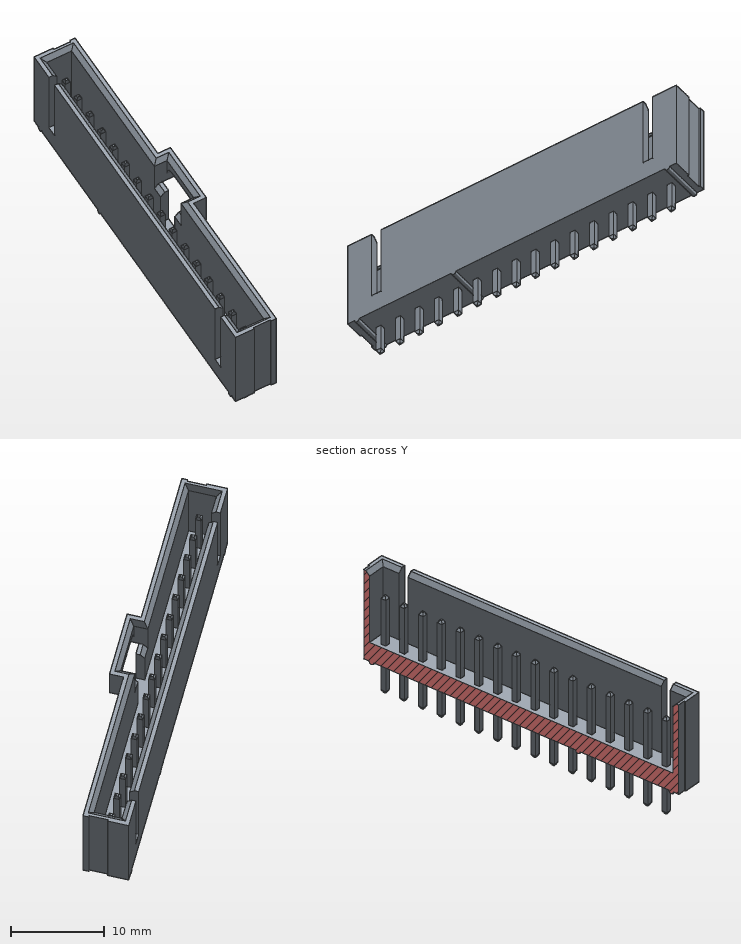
import cadquery as cq

length = 43.1
depth = 5.05
height = 11.4
wall = 1.0
floor_height = 2.45
rim_chamfer = 0.5

groove_depth = 0.17
groove_width = 2.05
groove_from_back = 0.65

hood_width = 7.67
hood_depth = 1.55
hood_height = 3.92
latch_slot_width = 3.0
window_height = 2.4
window_radius = 1.2

key_slot_width = 1.2
key_slot_offset = 17.8

ridge_radius = 0.325
ridge_positions = (-20.35, -7.67, 20.35)

pin_count = 16
pin_pitch = 2.55
pin_width = 0.65
pin_tail = 3.7
pin_top = 8.6
pin_tip_inset = 0.195
pin_tip_length = 0.35

front = -depth / 2
back = depth / 2
hood_floor = height - hood_height
hood_opening = hood_width - 2 * wall


def block(x_size, y_range, z_range, x_center=0.0):
    """Box centred at x_center, spanning the given Y and Z ranges."""
    y_size = y_range[1] - y_range[0]
    z_size = z_range[1] - z_range[0]
    box = cq.Workplane("XY").box(x_size, y_size, z_size, centered=(True, False, False))
    return box.translate((x_center, y_range[0], z_range[0]))


def flared_opening(x_size, y_range, z_range):
    """Block whose sides flare outward at 45 degrees over the top rim_chamfer."""
    straight = block(x_size, y_range, z_range)
    y_size = y_range[1] - y_range[0]
    flare = (
        cq.Workplane("XY", origin=(0, sum(y_range) / 2, z_range[1] - rim_chamfer))
        .rect(x_size, y_size)
        .workplane(offset=rim_chamfer)
        .rect(x_size + 2 * rim_chamfer, y_size + 2 * rim_chamfer)
        .loft(ruled=True)
    )
    return straight.union(flare)


def make_housing():
    shell = block(length, (front, back), (0, height))
    shell = shell.union(block(hood_width, (0, back + hood_depth), (hood_floor, height)))

    cavity_y = (front + wall, back - wall)
    shell = shell.cut(flared_opening(length - 2 * wall, cavity_y, (floor_height, height)))

    hood_y = (0, back + hood_depth - wall)
    shell = shell.cut(flared_opening(hood_opening, hood_y, (hood_floor, height)))

    bevel = (
        cq.Workplane("YZ", origin=(-hood_opening / 2, back - wall, hood_floor))
        .lineTo(0, -rim_chamfer)
        .lineTo(rim_chamfer, 0)
        .close()
        .extrude(hood_opening)
    )
    shell = shell.cut(bevel)

    window_y = (back, back + hood_depth)
    window_z = (hood_floor, hood_floor + window_height)
    window = block(hood_opening, window_y, window_z)
    shell = shell.cut(window.edges("|Y and >Z").fillet(window_radius))

    shell = shell.cut(block(latch_slot_width, (0, back), (floor_height, height)))
    return shell


def end_groove(side):
    groove_back = back - groove_from_back
    x_center = side * (length - groove_depth) / 2
    return block(groove_depth, (groove_back - groove_width, groove_back), (0, height), x_center)


def key_slot(side):
    return block(key_slot_width, (front, 0), (floor_height, height), side * key_slot_offset)


def ridge(x_position):
    """Half-round rib running front to back below the housing."""
    profile = (
        cq.Workplane("XZ", origin=(x_position, back, 0))
        .moveTo(-ridge_radius, 0)
        .threePointArc((0, -ridge_radius), (ridge_radius, 0))
        .close()
    )
    return profile.extrude(depth)


def pin(x_position):
    half = pin_width / 2
    post = block(pin_width, (-half, half), (-pin_tail, pin_top), x_position)
    return post.faces("<Z or >Z").chamfer(pin_tip_length, pin_tip_inset)


result = make_housing()
for side in (-1, 1):
    result = result.cut(end_groove(side)).cut(key_slot(side))
for x_position in ridge_positions:
    result = result.union(ridge(x_position))
for index in range(pin_count):
    result = result.union(pin((index - (pin_count - 1) / 2) * pin_pitch))